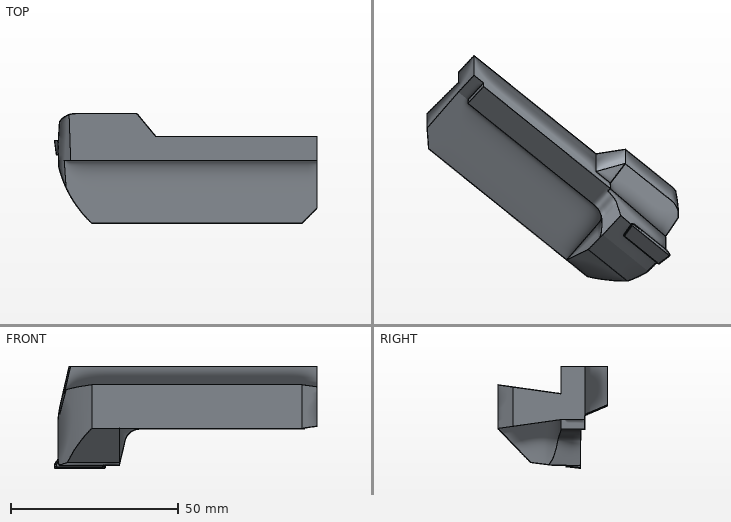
import cadquery as cq
import math

LENGTH = 78.48
DEPTH = 32.8
HEIGHT = 30.5

BAR_DEPTH = 25.97
STEP_Y = 18.8
LEDGE_ANGLE = 8.0
FRONT_TOP_Z = 25.0
FRONT_BOTTOM_Z = 11.95
RIB_BOTTOM_Z = 11.72
RIB_END_X = 74.7
END_CHAMFER = 4.5
LEDGE_DROP = STEP_Y * math.tan(math.radians(LEDGE_ANGLE))

NOSE_ARC_R = 34.0
NOSE_ARC_CENTER = (34.32, 24.9)
REAR_ARC_R = 6.0
REAR_ARC_CENTER = (6.35, DEPTH - REAR_ARC_R)
SHOULDER_X = 24.65
SHOULDER_END_X = 30.3

HEAD_TURN = 2.0
BLADE_BOTTOM_Z = 0.9
BEVEL_FOOT = (9.8, 1.75)
BOTTOM_FLAT_Y = 16.5
OVERHANG_Z = 19.05
OVERHANG_ROOT_Z = 15.3
BLADE_CORNER = (1.05, 24.06)
END_FACE_LEAN = 13.3
END_BEND_Z = 15.1
END_BEND_R = 10.7
END_BOTTOM_CHAMFER = (0.35, 0.55)
BLADE_END_X = 19.4
FLARE_ANGLE = 13.3
FLARE_R = 4.4
WEB_FILLET_R = 4.4

INSERT_LENGTH = 15.2
INSERT_HEIGHT = 2.6
INSERT_REAR_Y = 24.75
INSERT_FRONT_Y = 20.4
INSERT_EDGE_Z = 1.2
INSERT_CORNER = 0.25
INSERT_END_SLOPE_X = 0.95
INSERT_SIDE_RELIEF = 0.6
INSERT_BOTTOM_RELIEF = 0.5

MARGIN = 5.0


def prism_along_x(points, x_start, x_end):
    """Extrude a (Y, Z) polygon from x_start to x_end."""
    return cq.Workplane("YZ", origin=(x_start, 0, 0)).polyline(points).close().extrude(x_end - x_start)


def turn_with_head(body):
    """Turn a body about the vertical edge at the blade's left rear corner."""
    x, y = BLADE_CORNER
    return body.rotate((x, y, 0), (x, y, 1), HEAD_TURN)


def stock():
    """Full cross section of head and bar, before the outlines are trimmed."""
    section = [
        (0, FRONT_BOTTOM_Z),
        BEVEL_FOOT,
        (BOTTOM_FLAT_Y, BLADE_BOTTOM_Z),
        (DEPTH, BLADE_BOTTOM_Z),
        (DEPTH, HEIGHT),
        (STEP_Y, HEIGHT),
        (STEP_Y, FRONT_TOP_Z - LEDGE_DROP),
        (0, FRONT_TOP_Z),
    ]
    return prism_along_x(section, 0, LENGTH)


def plan_outline():
    """Outline seen from above, with the nose arc and the rounded rear corner."""
    nose_x, nose_y = NOSE_ARC_CENTER
    rear_x, rear_y = REAR_ARC_CENTER
    nose_start = (nose_x - math.sqrt(NOSE_ARC_R**2 - nose_y**2), 0)
    nose_half = math.asin(nose_y / NOSE_ARC_R) / 2
    nose_mid = (nose_x - NOSE_ARC_R * math.cos(nose_half), nose_y - NOSE_ARC_R * math.sin(nose_half))
    rear_mid = (rear_x - REAR_ARC_R / math.sqrt(2), rear_y + REAR_ARC_R / math.sqrt(2))
    return (
        cq.Workplane("XY")
        .moveTo(*nose_start)
        .threePointArc(nose_mid, (nose_x - NOSE_ARC_R, nose_y))
        .lineTo(rear_x - REAR_ARC_R, rear_y)
        .threePointArc(rear_mid, (rear_x, DEPTH))
        .lineTo(SHOULDER_X, DEPTH)
        .lineTo(SHOULDER_END_X, BAR_DEPTH)
        .lineTo(LENGTH, BAR_DEPTH)
        .lineTo(LENGTH, END_CHAMFER)
        .lineTo(LENGTH - END_CHAMFER, 0)
        .close()
        .extrude(HEIGHT)
    )


def end_face_envelope():
    """Left end of the head: upright below, leaning inwards above, blended by a large radius."""
    x, y = BLADE_CORNER
    chamfer_x, chamfer_z = END_BOTTOM_CHAMFER
    lean = math.radians(END_FACE_LEAN)
    tangent = END_BEND_R * math.tan(lean / 2)
    top_x = x + (HEIGHT - END_BEND_Z) * math.tan(lean)
    bend_center_x = x + END_BEND_R
    bend_start_z = END_BEND_Z - tangent
    bend_mid = (
        bend_center_x - END_BEND_R * math.cos(lean / 2),
        bend_start_z + END_BEND_R * math.sin(lean / 2),
    )
    bend_end = (x + tangent * math.sin(lean), END_BEND_Z + tangent * math.cos(lean))
    envelope = (
        cq.Workplane("XZ", origin=(0, -DEPTH, 0))
        .moveTo(x + chamfer_x, BLADE_BOTTOM_Z)
        .lineTo(x, BLADE_BOTTOM_Z + chamfer_z)
        .lineTo(x, bend_start_z)
        .threePointArc(bend_mid, bend_end)
        .lineTo(top_x, HEIGHT)
        .lineTo(2 * LENGTH, HEIGHT)
        .lineTo(2 * LENGTH, BLADE_BOTTOM_Z)
        .close()
        .extrude(-3 * DEPTH)
    )
    return turn_with_head(envelope)


def space_behind_blade():
    """Space under the overhang, behind the blade and ahead of the bar."""
    corner_y = BLADE_CORNER[1]
    slope = (OVERHANG_Z - OVERHANG_ROOT_Z) / (DEPTH - corner_y)
    far_y = DEPTH + MARGIN
    space = [
        (corner_y, 0),
        (far_y, 0),
        (far_y, OVERHANG_Z + slope * MARGIN),
        (corner_y, OVERHANG_ROOT_Z),
    ]
    behind_blade = turn_with_head(prism_along_x(space, -MARGIN, SHOULDER_END_X))
    ahead_of_bar = (
        cq.Workplane("XY", origin=(-MARGIN, 0, 0))
        .box(SHOULDER_X + MARGIN, far_y, HEIGHT, centered=False)
    )
    under_shoulder_space = [
        (BAR_DEPTH, 0),
        (far_y, 0),
        (far_y, OVERHANG_Z + slope * MARGIN),
        (BAR_DEPTH, OVERHANG_ROOT_Z + slope * (BAR_DEPTH - corner_y)),
    ]
    under_shoulder = prism_along_x(under_shoulder_space, SHOULDER_X, SHOULDER_END_X)
    return behind_blade.intersect(ahead_of_bar).union(under_shoulder)


def space_under_bar():
    """Space right of the blade's flared edge and below the bar's rear rib."""
    lean = math.tan(math.radians(FLARE_ANGLE))
    tangent = FLARE_R * math.tan(math.radians((90 - FLARE_ANGLE) / 2))
    corner_x = BLADE_END_X + (RIB_BOTTOM_Z - BLADE_BOTTOM_Z) * lean
    arc_start = (
        corner_x - tangent * math.sin(math.radians(FLARE_ANGLE)),
        RIB_BOTTOM_Z - tangent * math.cos(math.radians(FLARE_ANGLE)),
    )
    arc_end = (corner_x + tangent, RIB_BOTTOM_Z)
    return (
        cq.Workplane("XZ")
        .moveTo(BLADE_END_X - BLADE_BOTTOM_Z * lean, 0)
        .lineTo(*arc_start)
        .radiusArc(arc_end, FLARE_R)
        .lineTo(LENGTH, RIB_BOTTOM_Z)
        .lineTo(LENGTH, 0)
        .close()
        .extrude(-DEPTH)
    )


def space_before_rib():
    """Space under the bar's leaning underside, ahead of the blade web and rib."""
    groove_z = FRONT_BOTTOM_Z + LEDGE_DROP
    space = [(0, 0), (STEP_Y, 0), (STEP_Y, groove_z), (0, FRONT_BOTTOM_Z)]
    beyond_rib = [(STEP_Y, 0), (DEPTH, 0), (DEPTH, groove_z), (STEP_Y, groove_z)]
    before_web = prism_along_x(space, BLADE_END_X, LENGTH)
    before_web = before_web.faces("<X").edges("|Z and >Y").fillet(WEB_FILLET_R)
    return before_web.union(prism_along_x(beyond_rib, RIB_END_X, LENGTH))


def insert_outline(y, end_relief, bottom_relief):
    """Side outline of the insert as a wire in the plane at the given Y."""
    left = end_relief
    right = INSERT_LENGTH - end_relief
    bottom = bottom_relief
    points = [
        (left + INSERT_CORNER, bottom),
        (right - INSERT_CORNER, bottom),
        (right, bottom + INSERT_CORNER),
        (right, INSERT_EDGE_Z),
        (right - INSERT_END_SLOPE_X, INSERT_HEIGHT),
        (left + INSERT_END_SLOPE_X, INSERT_HEIGHT),
        (left, INSERT_EDGE_Z),
        (left, bottom + INSERT_CORNER),
    ]
    return cq.Wire.makePolygon([cq.Vector(x, y, z) for x, z in points], close=True)


def make_insert():
    """Long insert with a cutting edge at each end, widest along its rear side."""
    rear = insert_outline(INSERT_REAR_Y, 0, 0)
    front = insert_outline(INSERT_FRONT_Y, INSERT_SIDE_RELIEF, INSERT_BOTTOM_RELIEF)
    return cq.Workplane(obj=cq.Solid.makeLoft([rear, front], True))


def make_holder(insert):
    """Bar and cutting head in one piece, with a pocket that fits the insert."""
    return (
        stock()
        .intersect(plan_outline())
        .intersect(end_face_envelope())
        .cut(space_behind_blade())
        .cut(space_under_bar())
        .cut(space_before_rib())
        .cut(insert)
    )


insert = make_insert()
holder = make_holder(insert)
result = cq.Compound.makeCompound([holder.solids().val(), insert.val()])